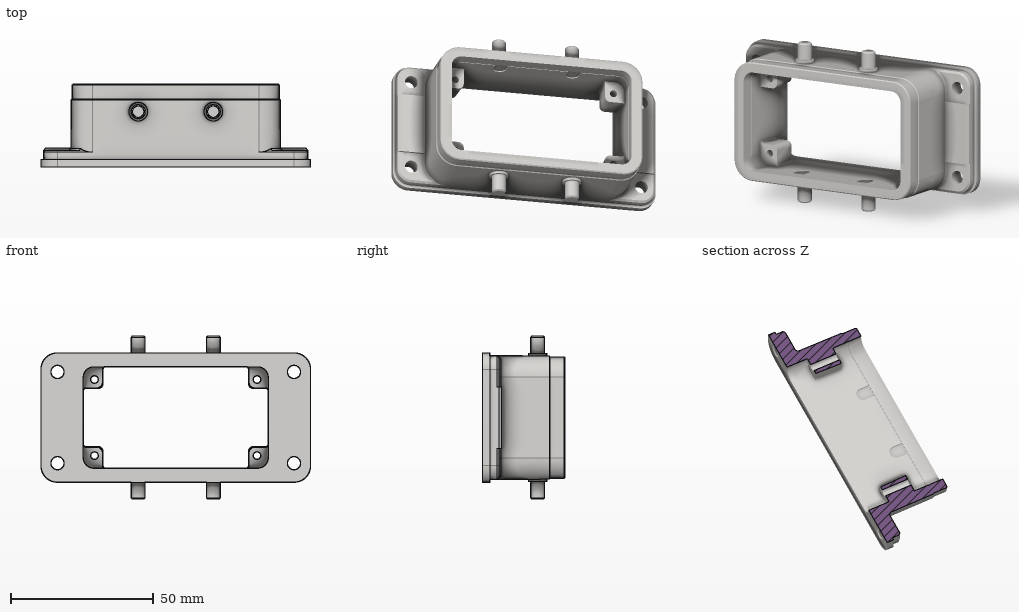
import cadquery as cq
import math

length = 95.0
depth = 29.2
pin_span = 57.5

plate_height = 45.6
plate_thickness = 2.7
plate_radius = 5.9
step_inset = 0.95
step_length = length - 2 * step_inset
step_height = plate_height - 2 * step_inset
step_radius = plate_radius - step_inset
step_top = 5.9
step_chamfer = 0.7
pad_top = 6.7
pad_width = 21.7

mount_hole_diameter = 4.6
mount_hole_x = 41.6
mount_hole_z = 16.1

body_length = 73.9
body_height = step_height
body_radius = 7.6
body_top = 23.8
body_draft = 0.4
shoulder_chamfer = 0.3
skirt_size = 0.7
skirt_angle = 45
cap_inset = 0.5
cap_length = body_length - 2 * cap_inset
cap_height = body_height - 2 * cap_inset
cap_radius = body_radius - cap_inset
cap_chamfer = 0.4

opening_length = 65.2
opening_height = 35.7
opening_radius = 3.8
mouth_depth = 1.4
taper_end = 18.2
cavity_draft = 0.2
seam_width = 0.4
seam_depth = 0.2

notch_width = 4.75
notch_bottom = 18.1
notch_depth = 0.3

boss_length = 7.0
boss_height = 7.7
boss_front = 8.0
boss_back = 18.05
boss_flare = 0.3
boss_round = 1.9
boss_foot_radius = 0.9
boss_overlap = 0.95
boss_hole_diameter = 2.6
boss_hole_x = 28.6
boss_hole_z = 13.4

pin_x = 13.2
pin_y = 19.5
pin_diameter = 4.9
pin_chamfer = 0.5
collar_diameter = 6.6
collar_span = 45.1

corners = [(sx, sz) for sx in (-1, 1) for sz in (-1, 1)]


def plane_at(y):
    """Plane facing +Y whose local axes are Z and X."""
    return cq.Plane(origin=(0, y, 0), xDir=(0, 0, 1), normal=(0, 1, 0))


def rounded_block(size_x, size_z, radius, y_start, y_end, draft=0.0):
    """Rounded rectangle extruded along Y, narrowing by the draft angle."""
    outline = cq.Sketch().rect(size_z, size_x).vertices().fillet(radius)
    return cq.Workplane(plane_at(y_start)).placeSketch(outline).extrude(y_end - y_start, taper=draft)


def y_hole(x, z, diameter):
    """Cylinder along Y through the full depth."""
    return cq.Workplane(plane_at(0)).center(z, x).circle(diameter / 2).extrude(depth)


def stepped_block(top, chamfer):
    """Raised step of the flange, drafted like the body so their long sides are flush."""
    block = rounded_block(step_length, step_height, step_radius, 0, top, body_draft)
    return block.faces(">Y").edges().chamfer(chamfer)


def make_flange():
    """Base plate, its raised step and a higher pad across the middle of the step."""
    plate = rounded_block(length, plate_height, plate_radius, 0, plate_thickness)
    pad_band = cq.Workplane().box(length, 2 * depth, pad_width)
    pad = stepped_block(pad_top, pad_top - step_top).intersect(pad_band)
    return plate.union(stepped_block(step_top, step_chamfer)).union(pad)


def make_body():
    """Solid drafted body with a slightly smaller straight cap behind it."""
    body = rounded_block(body_length, body_height, body_radius, 0, body_top, body_draft)
    body = body.faces(">Y").edges().chamfer(shoulder_chamfer)
    cap = rounded_block(cap_length, cap_height, cap_radius, plate_thickness, depth)
    cap = cap.faces(">Y").edges().chamfer(cap_chamfer)
    return body.union(cap)


def make_skirt():
    """Sloped foot where the body ends rise from the flange, kept inside the rim chamfer."""
    skirt_top = step_top + skirt_size
    shrink = step_top * math.tan(math.radians(body_draft))
    growth = skirt_size / math.tan(math.radians(skirt_angle)) - shrink
    foot_length = body_length + 2 * growth
    foot_height = body_height + 2 * growth
    foot = rounded_block(foot_length, foot_height, body_radius + growth, step_top, skirt_top, skirt_angle)
    rim = stepped_block(skirt_top, skirt_top - step_top + step_chamfer)
    return foot.intersect(rim)


def make_opening():
    """Through opening: straight mouth, drafted cavity, straight rear with a seam groove."""
    narrowing = (taper_end - mouth_depth) * math.tan(math.radians(cavity_draft))
    rear_length = opening_length - 2 * narrowing
    rear_height = opening_height - 2 * narrowing
    rear_radius = opening_radius - narrowing
    mouth = rounded_block(opening_length, opening_height, opening_radius, 0, mouth_depth)
    cavity = rounded_block(
        opening_length, opening_height, opening_radius, mouth_depth, taper_end, cavity_draft
    )
    rear = rounded_block(rear_length, rear_height, rear_radius, taper_end, depth)
    seam_length = rear_length + 2 * seam_depth
    seam_height = rear_height + 2 * seam_depth
    seam_start = body_top - seam_width / 2
    seam_end = body_top + seam_width / 2
    seam = rounded_block(seam_length, seam_height, rear_radius + seam_depth, seam_start, seam_end)
    return mouth.union(cavity).union(rear).union(seam)


def make_notches(sx):
    """Pair of facing notches with a rounded front end, running back to the seam."""
    radius = notch_width / 2
    center_y = notch_bottom + radius
    base = cq.Workplane("XY", origin=(sx * pin_x, center_y, 0))
    reach = opening_height / 2 + notch_depth
    round_end = base.circle(radius).extrude(reach, both=True)
    run = body_top - center_y
    straight = base.center(0, run / 2).rect(notch_width, run).extrude(reach, both=True)
    return round_end.union(straight)


def make_pins(sx):
    """Pair of coaxial pins with collars, joined through the body along Z."""
    base = cq.Workplane("XY", origin=(sx * pin_x, pin_y, 0))
    pin = base.circle(pin_diameter / 2).extrude(pin_span / 2, both=True)
    pin = pin.faces("<Z or >Z").edges().chamfer(pin_chamfer)
    collar = base.circle(collar_diameter / 2).extrude(collar_span / 2, both=True)
    return pin.union(collar)


def boss_outline(sx, sz, y, size_x, size_z):
    """Closed boss outline with a rounded free corner and concave feet on both walls."""
    wall_x = opening_length / 2
    wall_z = opening_height / 2
    free_x = wall_x - size_x
    free_z = wall_z - size_z
    foot = boss_foot_radius

    def at(x, z):
        return (sz * z, sx * x)

    def arc_middle(center_x, center_z, radius, direction):
        reach = direction * radius * math.sqrt(0.5)
        return at(center_x + reach, center_z + reach)

    return (
        cq.Workplane(plane_at(y))
        .moveTo(*at(wall_x + boss_overlap, wall_z + boss_overlap))
        .lineTo(*at(free_x - foot, wall_z + boss_overlap))
        .lineTo(*at(free_x - foot, wall_z))
        .threePointArc(arc_middle(free_x - foot, wall_z - foot, foot, 1), at(free_x, wall_z - foot))
        .lineTo(*at(free_x, free_z + boss_round))
        .threePointArc(
            arc_middle(free_x + boss_round, free_z + boss_round, boss_round, -1), at(free_x + boss_round, free_z)
        )
        .lineTo(*at(wall_x - foot, free_z))
        .threePointArc(arc_middle(wall_x - foot, free_z - foot, foot, 1), at(wall_x, free_z - foot))
        .lineTo(*at(wall_x + boss_overlap, free_z - foot))
        .close()
    )


def make_boss(sx, sz):
    """Drilled screw boss, slightly larger at the back than at the front."""
    front = boss_outline(sx, sz, boss_front, boss_length - boss_flare, boss_height - boss_flare)
    back = boss_outline(sx, sz, boss_back, boss_length, boss_height)
    wires = [front.wires().val(), back.wires().val()]
    boss = cq.Workplane(cq.Solid.makeLoft(wires, True))
    return boss.cut(y_hole(sx * boss_hole_x, sz * boss_hole_z, boss_hole_diameter))


result = make_flange().union(make_skirt()).union(make_body())
for side in (-1, 1):
    result = result.union(make_pins(side))
result = result.cut(make_opening())
for side in (-1, 1):
    result = result.cut(make_notches(side))
for side_x, side_z in corners:
    result = result.cut(y_hole(side_x * mount_hole_x, side_z * mount_hole_z, mount_hole_diameter))
    result = result.union(make_boss(side_x, side_z))